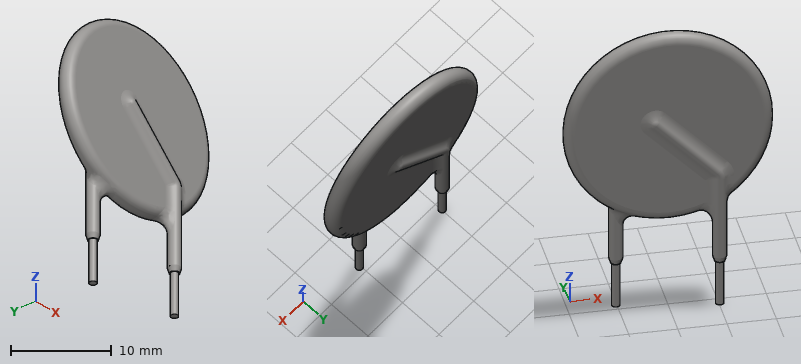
import cadquery as cq
import math

disc_diameter = 21.25
disc_thickness = 2.0
overall_height = 31.4
overall_depth = 3.1
disc_radius = disc_diameter / 2
disc_half = disc_thickness / 2

coat_diameter = 1.45
coat_radius = coat_diameter / 2
lead_pitch = 10.2
lead_x = lead_pitch / 2
lead_y = -(overall_depth / 2 - coat_radius)
coat_bottom_z = -15.23

bend_radius = 1.0
bend_angle = math.radians(45)
bend_corner_z = -5.75
tip_x = -1.45
tip_z = bend_corner_z + (lead_x - tip_x) / math.tan(bend_angle)

blend_radius = 1.57

wire_diameter = 0.85
taper_length = 0.6
taper_end_diameter = 1.07
wire_bottom_z = disc_radius - overall_height

touch_tolerance = 0.0003


def make_disc():
    return (
        cq.Workplane("XY")
        .moveTo(0, -disc_half)
        .lineTo(disc_radius - disc_half, -disc_half)
        .threePointArc((disc_radius, 0), (disc_radius - disc_half, disc_half))
        .lineTo(0, disc_half)
        .close()
        .revolve(360, (0, 0, 0), (0, 1, 0))
    )


def make_coated_lead():
    """Coated lead on the -Y face, ending in a rounded tip near the disc centre."""
    bend_start_z = bend_corner_z - bend_radius * math.tan(bend_angle / 2)
    bend_centre_x = lead_x - bend_radius

    def bend_point(angle):
        return (
            bend_centre_x + bend_radius * math.cos(angle),
            bend_start_z + bend_radius * math.sin(angle),
        )

    route = (
        cq.Workplane("XZ", origin=(0, lead_y, 0))
        .moveTo(lead_x, coat_bottom_z)
        .lineTo(lead_x, bend_start_z)
        .threePointArc(bend_point(bend_angle / 2), bend_point(bend_angle))
        .lineTo(tip_x, tip_z)
    )
    coating = (
        cq.Workplane("XY", origin=(lead_x, lead_y, coat_bottom_z))
        .circle(coat_radius)
        .sweep(route)
    )
    tip = cq.Workplane("XY").sphere(coat_radius).translate((tip_x, lead_y, tip_z))
    return coating.union(tip)


def make_wire():
    """Tapered coating end and bare wire under the -Y lead."""
    taper_bottom_z = coat_bottom_z - taper_length
    profile = [
        (0, coat_bottom_z),
        (coat_radius, coat_bottom_z),
        (taper_end_diameter / 2, taper_bottom_z),
        (wire_diameter / 2, taper_bottom_z),
        (wire_diameter / 2, wire_bottom_z),
        (0, wire_bottom_z),
    ]
    return (
        cq.Workplane("XZ")
        .polyline(profile)
        .close()
        .revolve(360, (0, 0, 0), (0, 1, 0))
        .translate((lead_x, lead_y, 0))
    )


def half_turn(shape):
    """Copy of the shape turned half a turn about Z, for the opposite face."""
    return shape.rotate((0, 0, 0), (0, 0, 1), 180)


def blend(disc, leads):
    """Join the leads to the disc and round the inner corners where they meet."""
    joined = disc
    for lead in leads:
        joined = joined.union(lead)

    def touches(edge, body):
        middle = cq.Vertex.makeVertex(*edge.positionAt(0.5).toTuple())
        return any(skin.distance(middle) < touch_tolerance for skin in body.shells().vals())

    corners = [
        edge
        for edge in joined.edges().vals()
        if touches(edge, disc) and any(touches(edge, lead) for lead in leads)
    ]
    return joined.newObject(corners).fillet(blend_radius)


lead_front = make_coated_lead()
wire_front = make_wire()
result = blend(make_disc(), [lead_front, half_turn(lead_front)])
result = result.union(wire_front).union(half_turn(wire_front))